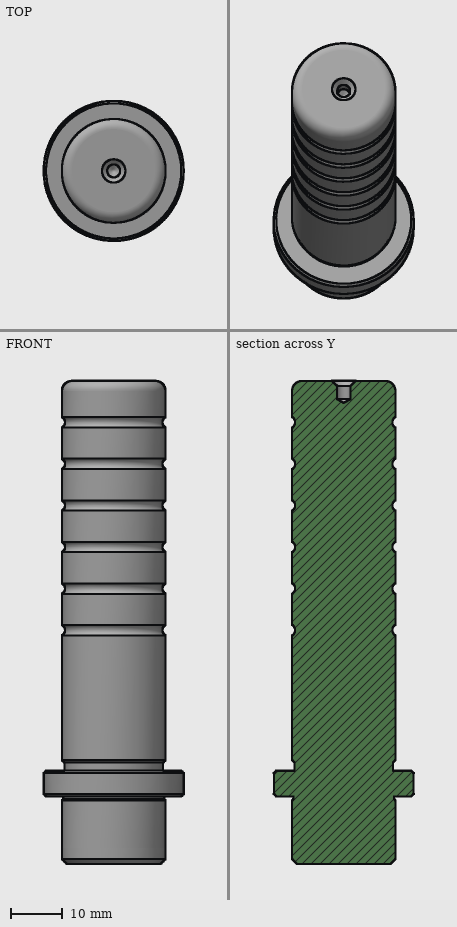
import cadquery as cq
import math

total_height = 93.0
shaft_radius = 10.0
top_round = 2.0

bottom_chamfer_height = 1.0
bottom_chamfer_width = 1.0
lead_height = 3.0

collar_radius = 13.5
collar_bottom = 13.0
collar_top = 18.0
collar_chamfer = 0.5
upper_relief_depth = 0.5
upper_relief_height = 2.0
lower_relief_depth = 0.25
lower_relief_height = 0.75

groove_count = 6
groove_pitch = 8.0
first_groove_drop = 8.0
groove_width = 2.0
groove_depth = 0.6

center_mouth_radius = 2.25
center_pilot_radius = 1.25
center_cone_angle = 90.0
center_pilot_length = 2.5
drill_tip_angle = 120.0


def cone_height(radius_change, included_angle):
    """Axial length of a cone over a given change in radius."""
    return radius_change / math.tan(math.radians(included_angle / 2))


def add_groove(profile, center_height):
    """Continue an upward-running outline through one groove of two arcs meeting at its floor."""
    half_width = groove_width / 2
    arc_radius = (half_width**2 + groove_depth**2) / (2 * groove_depth)
    return (
        profile.lineTo(shaft_radius, center_height - half_width)
        .radiusArc((shaft_radius - groove_depth, center_height), arc_radius)
        .radiusArc((shaft_radius, center_height + half_width), arc_radius)
    )


def make_body():
    """Revolve the stepped pin with its collar, relief necks, grooves and rounded top."""
    upper_neck_radius = shaft_radius - upper_relief_depth
    lower_neck_radius = shaft_radius - lower_relief_depth
    collar_face_radius = collar_radius - collar_chamfer
    upper_relief_top = collar_top + upper_relief_height
    lower_relief_bottom = collar_bottom - lower_relief_height
    round_offset = top_round * math.sqrt(0.5)
    round_middle = (
        shaft_radius - top_round + round_offset,
        total_height - top_round + round_offset,
    )
    profile = (
        cq.Workplane("XZ")
        .lineTo(shaft_radius - bottom_chamfer_width, 0)
        .lineTo(shaft_radius, bottom_chamfer_height)
        .lineTo(shaft_radius, lead_height)
        .lineTo(shaft_radius, lower_relief_bottom)
        .lineTo(lower_neck_radius, lower_relief_bottom + lower_relief_depth)
        .lineTo(lower_neck_radius, collar_bottom)
        .lineTo(collar_face_radius, collar_bottom)
        .lineTo(collar_radius, collar_bottom + collar_chamfer)
        .lineTo(collar_radius, collar_top - collar_chamfer)
        .lineTo(collar_face_radius, collar_top)
        .lineTo(upper_neck_radius, collar_top)
        .lineTo(upper_neck_radius, upper_relief_top - upper_relief_depth)
        .lineTo(shaft_radius, upper_relief_top)
    )
    for groove_index in reversed(range(groove_count)):
        profile = add_groove(profile, total_height - first_groove_drop - groove_index * groove_pitch)
    profile = (
        profile.lineTo(shaft_radius, total_height - top_round)
        .threePointArc(round_middle, (shaft_radius - top_round, total_height))
        .lineTo(0, total_height)
        .close()
    )
    return profile.revolve(360, (0, 0, 0), (0, 1, 0), clean=False)


def make_center_hole():
    """Centre drilling: conical mouth, cylindrical pilot and conical drill tip."""
    pilot_top = total_height - cone_height(center_mouth_radius - center_pilot_radius, center_cone_angle)
    pilot_bottom = pilot_top - center_pilot_length
    tip = pilot_bottom - cone_height(center_pilot_radius, drill_tip_angle)
    profile = (
        cq.Workplane("XZ")
        .moveTo(0, total_height)
        .lineTo(center_mouth_radius, total_height)
        .lineTo(center_pilot_radius, pilot_top)
        .lineTo(center_pilot_radius, pilot_bottom)
        .lineTo(0, tip)
        .close()
    )
    return profile.revolve(360, (0, 0, 0), (0, 1, 0))


result = make_body().cut(make_center_hole(), clean=False)